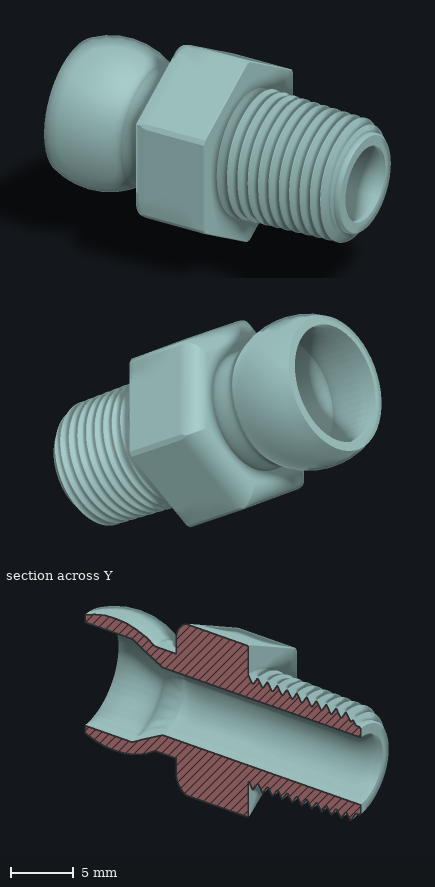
import cadquery as cq
import math

total_length = 26.42

ball_radius = 6.3
ball_center = 2.85
neck_radius = 4.97

hex_start = 8.72
hex_end = 15.65
hex_flats = 14.27
hex_corners = 16.22
hex_round = 1.59
hex_rear_round = 0.08

nine_turns = 8.45
pitch = nine_turns / 9
thread_start = 15.15
thread_root_radius = 4.7
thread_depth = 0.7
crest_flat = 0.05
thread_embed = 0.03
radius_taper = 1 / 32
flank_angle = math.radians(30)
runout_angle = math.radians(60)

tip_radius = 4.17
tip_start = 25.95
tip_chamfer = 0.13

socket_radius = 4.85
socket_depth = 4.52
hole_radius = 3.17
shoulder_angle = math.radians(30)


def revolve_profile(profile):
    """Close an (X, radius) outline and spin it about the X axis."""
    return profile.close().revolve(360, (0, 0, 0), (1, 0, 0))


def hex_prism(across_flats, turn):
    """Hexagonal bar along X; with no turn its corners point along Y."""
    sharp_corners = across_flats / math.cos(math.pi / 6)
    return (
        cq.Workplane("YZ", origin=(hex_start, 0, 0))
        .polygon(6, sharp_corners)
        .extrude(hex_end - hex_start)
        .rotate((0, 0, 0), (1, 0, 0), turn)
    )


def make_ball_and_neck():
    mouth_radius = math.sqrt(ball_radius**2 - ball_center**2)
    neck_start = ball_center + math.sqrt(ball_radius**2 - neck_radius**2)
    return revolve_profile(
        cq.Workplane("XY")
        .lineTo(0, mouth_radius)
        .threePointArc((ball_center, ball_radius), (neck_start, neck_radius))
        .lineTo(hex_end, neck_radius)
        .lineTo(hex_end, 0)
    )


def make_collar():
    """Hexagon with a rounded front rim, six narrow corner flats and an eased rear rim."""
    rounded = hex_prism(hex_flats, 30).faces("<X").edges().fillet(hex_round)
    collar = rounded.intersect(hex_prism(hex_corners, 0))
    return collar.faces(">X").edges().fillet(hex_rear_round)


def root_radius_at(x):
    return thread_root_radius - (x - hex_end) * radius_taper


def make_ridge():
    """Right-hand ridge in whole turns, starting in the collar and passing the end."""
    length = math.ceil((total_length - thread_start) / pitch) * pitch
    radius = root_radius_at(thread_start)
    taper_degrees = math.degrees(math.atan(radius_taper))
    helix = cq.Wire.makeHelix(pitch, length, radius, angle=-taper_degrees)
    base_radius = radius - thread_embed
    crest_radius = radius + thread_depth
    half_crest = crest_flat / 2
    half_base = half_crest + (crest_radius - base_radius) * math.tan(flank_angle)
    ridge = (
        cq.Workplane("XZ")
        .polyline([
            (base_radius, -half_base),
            (crest_radius, -half_crest),
            (crest_radius, half_crest),
            (base_radius, half_base),
        ])
        .close()
        .sweep(cq.Workplane(helix), isFrenet=True)
    )
    return ridge.rotate((0, 0, 0), (0, 1, 0), 90).translate((thread_start, 0, 0))


def make_runout_limit():
    """Envelope that slopes the end of the thread down to the plain tip."""
    limit_radius = hex_flats / 2
    runout_start = tip_start - (limit_radius - tip_radius) / math.tan(runout_angle)
    limit_start = hex_start + hex_round
    return revolve_profile(
        cq.Workplane("XY")
        .moveTo(limit_start, 0)
        .lineTo(limit_start, limit_radius)
        .lineTo(runout_start, limit_radius)
        .lineTo(tip_start, tip_radius)
        .lineTo(tip_start, 0)
    )


def make_thread():
    core = revolve_profile(
        cq.Workplane("XY")
        .moveTo(hex_start, 0)
        .lineTo(hex_start, root_radius_at(hex_start))
        .lineTo(total_length, root_radius_at(total_length))
        .lineTo(total_length, 0)
    )
    limit = make_runout_limit()
    return core.intersect(limit).union(make_ridge().intersect(limit))


def make_tip():
    tip = cq.Workplane("YZ", origin=(hex_end, 0, 0)).circle(tip_radius).extrude(total_length - hex_end)
    return tip.faces(">X").edges().chamfer(tip_chamfer)


def make_bore():
    """Socket narrowing through a conical shoulder to the through hole."""
    shoulder_length = (socket_radius - hole_radius) / math.tan(shoulder_angle)
    return revolve_profile(
        cq.Workplane("XY")
        .lineTo(0, socket_radius)
        .lineTo(socket_depth, socket_radius)
        .lineTo(socket_depth + shoulder_length, hole_radius)
        .lineTo(total_length, hole_radius)
        .lineTo(total_length, 0)
    )


body = make_ball_and_neck().union(make_collar()).union(make_tip()).union(make_thread())
result = body.cut(make_bore())